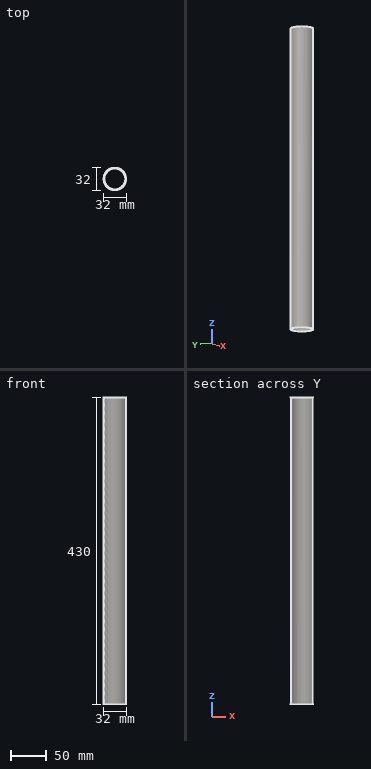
import cadquery as cq

length = 430.0
outer_diameter = 32.0
wall_thickness = 1.4

outer_radius = outer_diameter / 2
inner_radius = outer_radius - wall_thickness

result = cq.Workplane("XY").circle(outer_radius).circle(inner_radius).extrude(length)